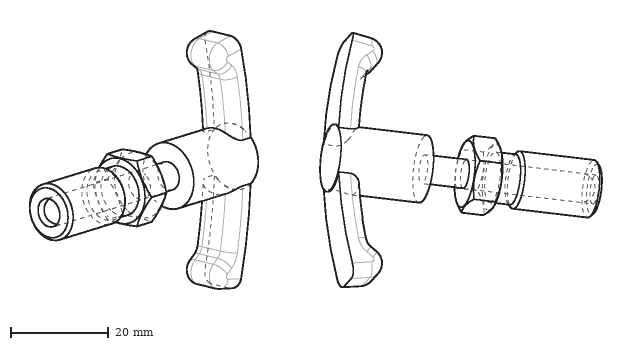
import cadquery as cq
import math

total_length = 57.0

hub_diameter = 14.0
hub_length = 20.0
pin_diameter = 6.0

handle_span = 54.0
arm_width = 10.05
arm_thickness = 5.0
back_radius = 100.0
edge_radius = 2.5
end_tilt = math.radians(10)
end_face_length = 4.0
knob_radius = 3.15
neck_radius = 2.2
neck_height = 18.35

hex_across_flats = 14.0
hex_start = 29.0
hex_height = 6.0
hex_chamfer_angle = math.radians(30)
hex_face_diameter = 13.8
thread_diameter = 11.95
relief_diameter = 10.5
relief_length = 4.4
thread_chamfer = (thread_diameter - relief_diameter) / 2


def cylinder(diameter, start, end):
    """Cylinder on the shared axis between two depths."""
    plane = cq.Workplane("XZ", origin=(0, -start, 0))
    return plane.circle(diameter / 2).extrude(end - start)


def polar(center, radius, angle):
    """Point at an angle on a circle, as (depth, height)."""
    return (center[0] + radius * math.cos(angle), center[1] + radius * math.sin(angle))


def make_arm():
    """Curved upper arm with a rounded knob, from the axis up to its tip."""
    bow_center = (back_radius, 0)
    front_radius = back_radius - arm_thickness
    tip_angle = math.pi - math.asin(handle_span / 2 / back_radius)
    tip = polar(bow_center, back_radius, tip_angle)
    back_middle = polar(bow_center, back_radius, (math.pi + tip_angle) / 2)

    knob_start_angle = math.pi / 2 - end_tilt
    knob_start = polar(tip, end_face_length, -end_tilt)
    knob_center = polar(knob_start, -knob_radius, knob_start_angle)

    neck_angle = math.pi - math.asin(neck_height / front_radius)
    neck_center = polar(bow_center, front_radius - neck_radius, neck_angle)
    neck_end = polar(bow_center, front_radius, neck_angle)
    front_middle = polar(bow_center, front_radius, (math.pi + neck_angle) / 2)

    center_run = neck_center[0] - knob_center[0]
    center_rise = neck_center[1] - knob_center[1]
    center_distance = math.hypot(center_run, center_rise)
    flank_angle = math.atan2(center_rise, center_run)
    flank_angle += math.acos((knob_radius + neck_radius) / center_distance)
    knob_end = polar(knob_center, knob_radius, flank_angle)
    knob_middle = polar(knob_center, knob_radius, (knob_start_angle + flank_angle) / 2)
    neck_start = polar(neck_center, -neck_radius, flank_angle)
    neck_middle = polar(neck_center, neck_radius, (flank_angle + math.pi + neck_angle) / 2)

    side_plane = cq.Plane(origin=(0, 0, 0), xDir=(0, -1, 0), normal=(-1, 0, 0))
    arm = (
        cq.Workplane(side_plane)
        .moveTo(0, 0)
        .threePointArc(back_middle, tip)
        .lineTo(*knob_start)
        .threePointArc(knob_middle, knob_end)
        .lineTo(*neck_start)
        .threePointArc(neck_middle, neck_end)
        .threePointArc(front_middle, (arm_thickness, 0))
        .close()
        .extrude(arm_width / 2, both=True)
    )

    nearest = cq.selectors.NearestToPointSelector
    rounded_edges = []
    for side in (-arm_width / 2, arm_width / 2):
        rounded_edges += arm.edges(nearest((side, -front_middle[0], front_middle[1]))).vals()
    return arm.newObject(rounded_edges).fillet(edge_radius)


def make_handle():
    """Hub, two mirrored arms and the pin, whose round tip is level with the bushing end."""
    upper_arm = make_arm()
    lower_arm = upper_arm.mirror("XY")
    hub = cylinder(hub_diameter, 0, hub_length)
    ball_depth = total_length - pin_diameter / 2
    pin = cylinder(pin_diameter, hub_length, ball_depth)
    ball = cq.Workplane("XY").sphere(pin_diameter / 2).translate((0, -ball_depth, 0))
    return hub.union(upper_arm).union(lower_arm).union(pin).union(ball)


def make_hexagon():
    """Hexagon with corners on +X and -X, chamfered at both ends."""
    corner_diameter = hex_across_flats / math.cos(math.pi / 6)
    face_radius = hex_face_diameter / 2
    corner_radius = corner_diameter / 2
    chamfer_height = (corner_radius - face_radius) * math.tan(hex_chamfer_angle)
    hex_end = hex_start + hex_height
    hexagon = (
        cq.Workplane("XZ", origin=(0, -hex_start, 0))
        .polygon(6, corner_diameter)
        .extrude(hex_height)
    )
    envelope = (
        cq.Workplane("XY")
        .moveTo(0, -hex_start)
        .lineTo(face_radius, -hex_start)
        .lineTo(corner_radius, -hex_start - chamfer_height)
        .lineTo(corner_radius, -hex_end + chamfer_height)
        .lineTo(face_radius, -hex_end)
        .lineTo(0, -hex_end)
        .close()
        .revolve(360, (0, 0, 0), (0, 1, 0))
    )
    return hexagon.intersect(envelope)


def make_bushing():
    """Hexagon, thread relief and chamfered thread, bored to fit the pin."""
    relief_start = hex_start + hex_height
    thread_start = relief_start + relief_length
    relief = cylinder(relief_diameter, relief_start, thread_start)
    thread = cylinder(thread_diameter, thread_start, total_length)
    thread = thread.faces("<Y or >Y").edges().chamfer(thread_chamfer)
    bore = cylinder(pin_diameter, hex_start, total_length)
    return make_hexagon().union(relief).union(thread).cut(bore)


handle = make_handle()
bushing = make_bushing()

result = cq.Compound.makeCompound([handle.val(), bushing.val()])